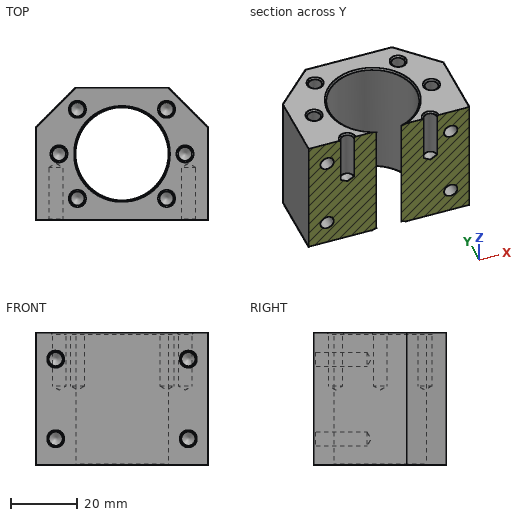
import cadquery as cq
import math

WIDTH = 52.0
DEPTH = 40.0
HEIGHT = 40.0
CORNER_CUT = 12.0

BORE_DIAMETER = 28.0
BORE_CHAMFER = 0.5

HOLE_DIAMETER = 4.2
HOLE_CHAMFER = 0.5
HOLE_DEPTH = 16.0
DRILL_TIP_ANGLE = 118.0

FLANGE_CIRCLE_DIAMETER = 38.0
FLANGE_HOLE_ANGLES = (0, 45, 135, 180, 225, 315)

MOUNT_SPACING_X = 40.0
MOUNT_SPACING_Z = 24.0


def make_block():
    """Block with the bore axis at the XY origin and its rear vertical edges cut off."""
    block = cq.Workplane("XY").box(WIDTH, DEPTH, HEIGHT, centered=(True, True, False))
    return block.edges("|Z and >Y").chamfer(CORNER_CUT)


def make_bore():
    """Cutter for the through bore, widened by a chamfer at both ends."""
    radius = BORE_DIAMETER / 2
    mouth_radius = radius + BORE_CHAMFER
    profile = [
        (0, 0),
        (mouth_radius, 0),
        (radius, BORE_CHAMFER),
        (radius, HEIGHT - BORE_CHAMFER),
        (mouth_radius, HEIGHT),
        (0, HEIGHT),
    ]
    return cq.Workplane("XZ").polyline(profile).close().revolve(360, (0, 0), (0, 1))


def make_hole():
    """Cutter for one blind hole: mouth at the origin, running toward -Z."""
    radius = HOLE_DIAMETER / 2
    mouth_radius = radius + HOLE_CHAMFER
    tip_length = radius / math.tan(math.radians(DRILL_TIP_ANGLE / 2))
    profile = [
        (0, 0),
        (mouth_radius, 0),
        (radius, -HOLE_CHAMFER),
        (radius, -HOLE_DEPTH),
        (0, -HOLE_DEPTH - tip_length),
    ]
    return cq.Workplane("XZ").polyline(profile).close().revolve(360, (0, 0), (0, 1))


def cut_flange_holes(body):
    """Blind holes around the bore in the top face."""
    hole = make_hole()
    circle_radius = FLANGE_CIRCLE_DIAMETER / 2
    for angle in FLANGE_HOLE_ANGLES:
        x = circle_radius * math.cos(math.radians(angle))
        y = circle_radius * math.sin(math.radians(angle))
        body = body.cut(hole.translate((x, y, HEIGHT)))
    return body


def cut_mount_holes(body):
    """Rectangular pattern of blind holes in the front face, running toward +Y."""
    hole = make_hole().rotate((0, 0, 0), (1, 0, 0), 90)
    for side_x in (-1, 1):
        for side_z in (-1, 1):
            x = side_x * MOUNT_SPACING_X / 2
            z = HEIGHT / 2 + side_z * MOUNT_SPACING_Z / 2
            body = body.cut(hole.translate((x, -DEPTH / 2, z)))
    return body


housing = make_block().cut(make_bore())
housing = cut_flange_holes(housing)
result = cut_mount_holes(housing)